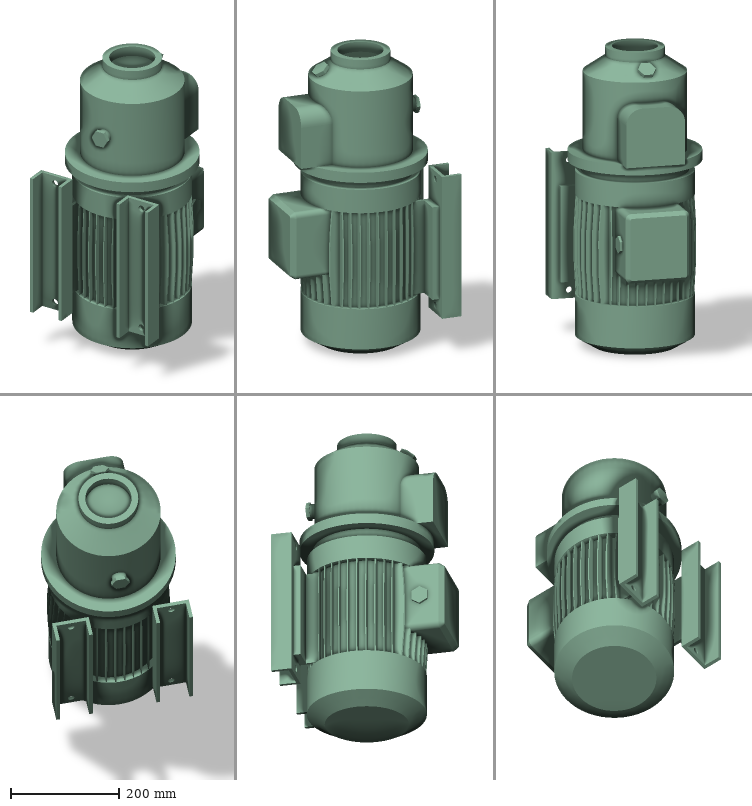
import cadquery as cq
import math


base_cone_top_z = 20.0
fins_bottom_z = 99.0
fins_top_z = 288.5
motor_top_z = 334.5
flange_bottom_z = 353.5
flange_top_z = 373.5
dome_bottom_z = 523.0
neck_bottom_z = 552.0
neck_top_z = 570.0

base_radius = 78.0
motor_radius = 111.0
collar_radius = 100.5
flange_radius = 125.0

core_radius = 99.0
fin_end_radius = 110.0
fin_middle_radius = 114.0
fin_thickness = 2.0
fin_pitch_angle = 10
fins_per_direction = 10

terminal_width = 122.0
terminal_bottom_z = 156.0
terminal_front_y = 68.5
terminal_back_y = 162.0
terminal_corner_radius = 10.0
terminal_bevel_depth = 9.5
terminal_bevel_inset = 7.0

hex_flats = 29.5
hex_corners = hex_flats / math.cos(math.pi / 6)
head_height = 7.5
stem_radius = 13.5
gland_y = 117.0
gland_height = 5.0

rails_overall_width = 258.0
rail_outer_x = rails_overall_width / 2
rail_width = 69.0
rail_depth = 39.0
rail_wall = 7.0
rail_bottom_z = 68.5
rail_top_z = 347.5
rail_back_y = -motor_radius
rail_middle_x = rail_outer_x - rail_width / 2
rail_hole_diameter = 12.5
rail_hole_end_gap = 15.5

foot_inner_x = 68.0
foot_outer_x = 114.5
web_thickness = 5.5
web_top_y = -57.0
pad_thickness = 13.5
foot_end_gap = 3.5
foot_bottom_z = fins_bottom_z + foot_end_gap
foot_top_z = fins_top_z - foot_end_gap

pump_radius = 97.0
neck_radius = 55.5
bore_radius = 43.0
bore_depth = 19.5

connection_width = 113.0
connection_top_z = 485.0
connection_back_y = 141.0
connection_corner_radius = 31.0

drain_z = 448.5
drain_length = 16.5
vent_length = 9.0


def block(x_range, y_range, z_range):
    """Box between two corners, each range given as (low, high)."""
    size = [high - low for low, high in (x_range, y_range, z_range)]
    corner = (x_range[0], y_range[0], z_range[0])
    return cq.Workplane("XY").box(*size, centered=False).translate(corner)


def cylinder(radius, bottom_z, top_z):
    return cq.Workplane("XY").workplane(offset=bottom_z).circle(radius).extrude(top_z - bottom_z)


def hex_plug(plane, length, buried_length):
    """Round stem with a hexagonal head, standing on the plane and sunk below it."""
    stem_length = length - head_height + buried_length
    stem = cq.Workplane(plane).workplane(offset=-buried_length).circle(stem_radius).extrude(stem_length)
    head = cq.Workplane(plane).workplane(offset=length - head_height).polygon(6, hex_corners)
    return stem.union(head.extrude(head_height))


def motor_shell():
    """Round motor parts below and above the fins, joined by the core."""
    outline = [
        (0, 0),
        (base_radius, 0),
        (motor_radius, base_cone_top_z),
        (motor_radius, fins_bottom_z),
        (core_radius, fins_bottom_z),
        (core_radius, fins_top_z),
        (motor_radius, fins_top_z),
        (motor_radius, motor_top_z),
        (collar_radius, motor_top_z),
        (collar_radius, flange_bottom_z),
        (flange_radius, flange_bottom_z),
        (flange_radius, flange_top_z),
        (0, flange_top_z),
    ]
    return cq.Workplane("XZ").polyline(outline).close().revolve(360, (0, 0), (0, 1))


def cooling_fins():
    """Plates along X and along Y, each crossing the core and trimmed to the barrel."""
    fin_length = fins_top_z - fins_bottom_z
    middle_z = (fins_bottom_z + fins_top_z) / 2
    plate_span = 2 * fin_middle_radius
    barrel = (
        cq.Workplane("XZ")
        .moveTo(0, fins_bottom_z)
        .lineTo(fin_end_radius, fins_bottom_z)
        .threePointArc((fin_middle_radius, middle_z), (fin_end_radius, fins_top_z))
        .lineTo(0, fins_top_z)
        .close()
        .revolve(360, (0, 0), (0, 1))
    )
    plates = cylinder(core_radius, fins_bottom_z, fins_top_z)
    for index in range(fins_per_direction):
        angle = math.radians((index - (fins_per_direction - 1) / 2) * fin_pitch_angle)
        offset = core_radius * math.sin(angle)
        plate = cq.Workplane("XY").box(fin_thickness, plate_span, fin_length)
        along_y = plate.translate((offset, 0, middle_z))
        along_x = along_y.rotate((0, 0, 0), (0, 0, 1), 90)
        plates = plates.union(along_y).union(along_x)
    return plates.intersect(barrel)


def terminal_box():
    """Box with rounded corners, a bevelled cover and a hexagonal cable gland on its +X side."""
    half_width = terminal_width / 2
    box = block(
        (-half_width, half_width), (terminal_front_y, terminal_back_y), (terminal_bottom_z, fins_top_z)
    )
    box = box.edges("|Y").fillet(terminal_corner_radius)
    box = box.faces(">Y").chamfer(terminal_bevel_inset, terminal_bevel_depth)
    middle_z = (terminal_bottom_z + fins_top_z) / 2
    gland_plane = cq.Plane(origin=(half_width, gland_y, middle_z), xDir=(0, 0, 1), normal=(1, 0, 0))
    gland = cq.Workplane(gland_plane).polygon(6, hex_corners).extrude(gland_height)
    return box.union(gland)


def rail_with_foot():
    """The +X rail with the foot that carries it."""
    rail_inner_x = rail_outer_x - rail_width
    rail_front_y = rail_back_y - rail_depth
    rail_z = (rail_bottom_z, rail_top_z)
    rail = block((rail_inner_x, rail_outer_x), (rail_front_y, rail_back_y), rail_z)
    channel = block(
        (rail_inner_x + rail_wall, rail_outer_x - rail_wall),
        (rail_front_y, rail_back_y - rail_wall),
        rail_z,
    )
    rail = rail.cut(channel)
    for hole_z in (rail_bottom_z + rail_hole_end_gap, rail_top_z - rail_hole_end_gap):
        hole = cq.Workplane("XZ", origin=(rail_middle_x, rail_back_y, hole_z))
        rail = rail.cut(hole.circle(rail_hole_diameter / 2).extrude(rail_wall))

    foot_z = (foot_bottom_z, foot_top_z)
    web = block((foot_inner_x, foot_inner_x + web_thickness), (rail_back_y, web_top_y), foot_z)
    pad = block((foot_inner_x, foot_outer_x), (rail_back_y, rail_back_y + pad_thickness), foot_z)
    return rail.union(web).union(pad)


def make_motor():
    right_rail = rail_with_foot()
    left_rail = right_rail.mirror("YZ")
    return motor_shell().union(cooling_fins()).union(terminal_box()).union(right_rail).union(left_rail)


def pump_casing():
    """Cylinder, conical dome and neck, with a blind bore in the neck."""
    outline = [
        (0, flange_top_z),
        (pump_radius, flange_top_z),
        (pump_radius, dome_bottom_z),
        (neck_radius, neck_bottom_z),
        (neck_radius, neck_top_z),
        (bore_radius, neck_top_z),
        (bore_radius, neck_top_z - bore_depth),
        (0, neck_top_z - bore_depth),
    ]
    return cq.Workplane("XZ").polyline(outline).close().revolve(360, (0, 0), (0, 1))


def connection_box():
    """Box on the flange, with its two upper corners rounded."""
    half_width = connection_width / 2
    box = block((-half_width, half_width), (0, connection_back_y), (flange_top_z, connection_top_z))
    return box.edges("|Y and >Z").fillet(connection_corner_radius)


def drain_plug():
    plane = cq.Plane(origin=(0, -pump_radius, drain_z), xDir=(1, 0, 0), normal=(0, -1, 0))
    return hex_plug(plane, drain_length, stem_radius)


def vent_plug():
    """Plug square to the dome, halfway up its slope on the +Y side."""
    middle_y = (pump_radius + neck_radius) / 2
    middle_z = (dome_bottom_z + neck_bottom_z) / 2
    slope_normal = (0, neck_bottom_z - dome_bottom_z, pump_radius - neck_radius)
    plane = cq.Plane(origin=(0, middle_y, middle_z), xDir=(1, 0, 0), normal=slope_normal)
    return hex_plug(plane, vent_length, stem_radius)


def make_pump():
    return pump_casing().union(connection_box()).union(drain_plug()).union(vent_plug())


motor = make_motor()
pump = make_pump()

result = cq.Compound.makeCompound([motor.val(), pump.val()])